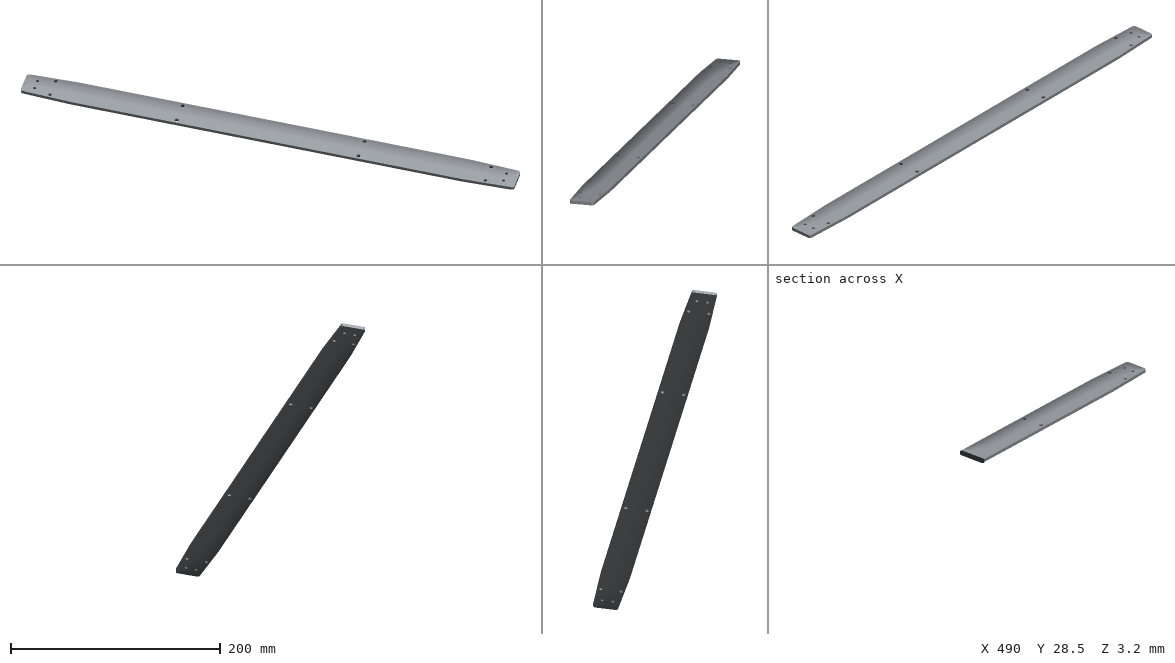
import cadquery as cq

length = 490.0
width = 28.5
thickness = 3.2

taper_length = 51.0
end_width = 24.0
corner_radius = 2.5

end_hole_diameter = 3.0
end_hole_inset = 12.3
end_hole_spacing = 10.5
taper_hole_diameter = 3.5
taper_hole_inset = 29.0
taper_hole_spacing = 19.5
body_hole_diameter = 4.0
body_hole_span = 180.5
body_hole_spacing = 20.5


def hole_group(span_x, span_y, diameter):
    """Four through-hole cutters at the corners of a centred rectangle."""
    return (
        cq.Workplane("XY")
        .rect(span_x, span_y, forConstruction=True)
        .vertices()
        .circle(diameter / 2)
        .extrude(thickness, both=True)
    )


taper_start = length / 2 - taper_length
corner_to_shoulder = [(length / 2, end_width / 2), (taper_start, width / 2)]
upper_side = corner_to_shoulder + [(-x, y) for x, y in reversed(corner_to_shoulder)]
lower_side = [(-x, -y) for x, y in upper_side]
plate = (
    cq.Workplane("XY")
    .polyline(upper_side + lower_side)
    .close()
    .extrude(thickness / 2, both=True)
)
result = plate.edges("|Z and (<X or >X)").fillet(corner_radius)


result = result.cut(hole_group(length - 2 * end_hole_inset, end_hole_spacing, end_hole_diameter))

result = result.cut(hole_group(length - 2 * taper_hole_inset, taper_hole_spacing, taper_hole_diameter))

result = result.cut(hole_group(body_hole_span, body_hole_spacing, body_hole_diameter))